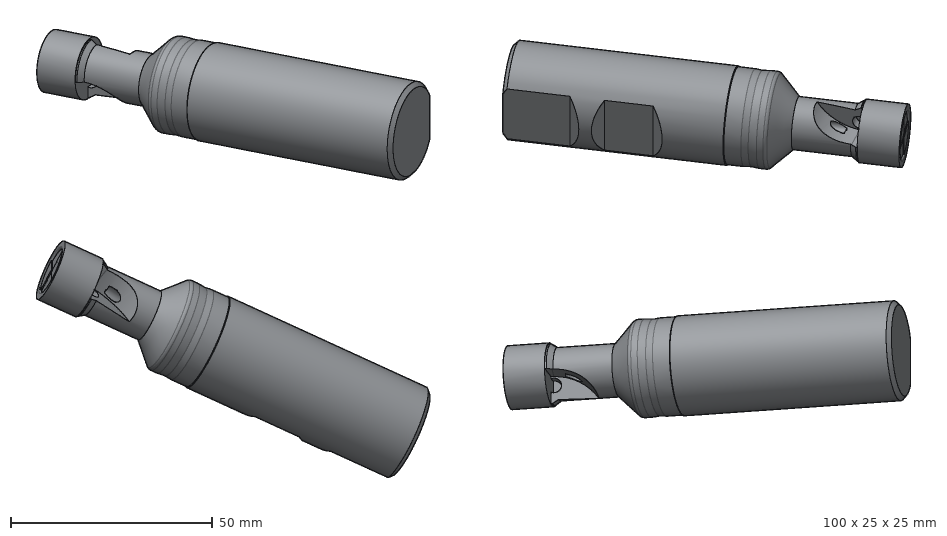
import cadquery as cq
import math

TOTAL_LENGTH = 100.0
HEAD_END = 10.6
COLLAR_END = 11.0
NECK_START = 12.5
CONE_START = 27.5
GROOVE_START = 35.3
GROOVE_MIDDLE = 37.4
GROOVE_END = 39.2
SHANK_START = 43.5

HEAD_RADIUS = 8.0
COLLAR_RADIUS = 7.7
NECK_RADIUS = 6.7
GUIDE_RADIUS = 12.3
SHANK_RADIUS = 12.5

CONE_ANGLE = 45
CONE_BLEND_RADIUS = 1.3
GROOVE_DEPTH = 0.2
SHANK_CHAMFER = 1.1

FLAT_HEIGHT = 9.7
FLAT_SLOPE_RUN = SHANK_RADIUS - FLAT_HEIGHT
FIRST_FLAT_START = 61.9
FIRST_FLAT_END = 74.2
SECOND_FLAT_START = 83.0

FLUTE_TILT = 8.5
FLUTE_FLOOR_HEIGHT = 0.7
FLUTE_FLOOR_RADIUS = 13.6
FLUTE_ARC_START = 11.3
FLUTE_WALL_Y = 0.6
FLUTE_REACH = 10.0

RELIEF_RADIUS = 1.9
RELIEF_DEPTH = 2.5
RELIEF_CENTRE_Z = 3.0

COOLANT_RADIUS = 1.4
COOLANT_ORIGIN_X = 26.0
COOLANT_TARGET = cq.Vector(17.2, 1.6, 1.5)
COOLANT_OVERRUN = 2.5

DISH_RADIUS = 6.4
DISH_DEPTH = 0.5
PAD_HEIGHT = 0.3
PAD_CORNER_Z = 0.5
PAD_STEP_Y = 2.8


def revolve_about_x(outline):
    """Turn a half outline drawn in the XY plane about the X axis."""
    return outline.close().revolve(360, (0, 0, 0), (1, 0, 0))


def repeat_half_turn(feature):
    """Join a feature to its copy turned half a turn about the X axis."""
    return feature.union(feature.rotate((0, 0, 0), (1, 0, 0), 180))


def make_body():
    """Collar, neck, 45 degree cone, guide band with its groove, and shank."""
    corner_x = CONE_START + GUIDE_RADIUS - NECK_RADIUS
    half_cone_angle = math.radians(CONE_ANGLE / 2)
    tangent_length = CONE_BLEND_RADIUS * math.tan(half_cone_angle)
    tangent_leg = tangent_length * math.sqrt(0.5)
    blend_start = (corner_x - tangent_leg, GUIDE_RADIUS - tangent_leg)
    blend_end = (corner_x + tangent_length, GUIDE_RADIUS)
    blend_middle = (
        blend_end[0] - CONE_BLEND_RADIUS * math.sin(half_cone_angle),
        GUIDE_RADIUS - CONE_BLEND_RADIUS * (1 - math.cos(half_cone_angle)),
    )
    shank_step = SHANK_RADIUS - GUIDE_RADIUS
    outline = (
        cq.Workplane("XY")
        .moveTo(HEAD_END, 0)
        .lineTo(HEAD_END, COLLAR_RADIUS)
        .lineTo(COLLAR_END, COLLAR_RADIUS)
        .lineTo(NECK_START, NECK_RADIUS)
        .lineTo(CONE_START, NECK_RADIUS)
        .lineTo(*blend_start)
        .threePointArc(blend_middle, blend_end)
        .lineTo(GROOVE_START, GUIDE_RADIUS)
        .lineTo(GROOVE_MIDDLE, GUIDE_RADIUS - GROOVE_DEPTH)
        .lineTo(GROOVE_END, GUIDE_RADIUS)
        .lineTo(SHANK_START, GUIDE_RADIUS)
        .lineTo(SHANK_START + shank_step, SHANK_RADIUS)
        .lineTo(TOTAL_LENGTH - SHANK_CHAMFER, SHANK_RADIUS)
        .lineTo(TOTAL_LENGTH, SHANK_RADIUS - SHANK_CHAMFER)
        .lineTo(TOTAL_LENGTH, 0)
    )
    return revolve_about_x(outline)


def make_clamping_flats():
    """Two flats with 45 degree run-outs; the second leaves through the shank end."""
    first = (
        cq.Workplane("XY")
        .moveTo(FIRST_FLAT_START - FLAT_SLOPE_RUN, SHANK_RADIUS)
        .lineTo(FIRST_FLAT_START, FLAT_HEIGHT)
        .lineTo(FIRST_FLAT_END, FLAT_HEIGHT)
        .lineTo(FIRST_FLAT_END + FLAT_SLOPE_RUN, SHANK_RADIUS)
        .close()
        .extrude(SHANK_RADIUS, both=True)
    )
    second = (
        cq.Workplane("XY")
        .moveTo(SECOND_FLAT_START - FLAT_SLOPE_RUN, SHANK_RADIUS)
        .lineTo(SECOND_FLAT_START, FLAT_HEIGHT)
        .lineTo(TOTAL_LENGTH, FLAT_HEIGHT)
        .lineTo(TOTAL_LENGTH, SHANK_RADIUS)
        .close()
        .extrude(SHANK_RADIUS, both=True)
    )
    return first.union(second)


def make_flute():
    """Flute with a flat wall, a floor that curves up to the neck, and a round relief."""
    wall_plane = cq.Plane(
        origin=(FLUTE_ARC_START, FLUTE_WALL_Y, 0), xDir=(1, 0, 0), normal=(0, -1, 0)
    ).rotated((0, -FLUTE_TILT, 0))
    arc_centre_z = FLUTE_FLOOR_HEIGHT + FLUTE_FLOOR_RADIUS
    floor_step = FLUTE_FLOOR_RADIUS * math.sqrt(0.5)
    sweep = (
        cq.Workplane(wall_plane)
        .moveTo(-FLUTE_REACH, FLUTE_FLOOR_HEIGHT)
        .lineTo(0, FLUTE_FLOOR_HEIGHT)
        .threePointArc((floor_step, arc_centre_z - floor_step), (FLUTE_FLOOR_RADIUS, arc_centre_z))
        .lineTo(-FLUTE_REACH, arc_centre_z)
        .close()
        .extrude(-FLUTE_REACH)
    )
    relief = (
        cq.Workplane(wall_plane)
        .center(0, RELIEF_CENTRE_Z)
        .circle(RELIEF_RADIUS)
        .extrude(RELIEF_DEPTH)
    )
    return sweep.union(relief)


def make_coolant_hole():
    """Straight hole from the axis, inclined towards the flute floor."""
    origin = cq.Vector(COOLANT_ORIGIN_X, 0, 0)
    direction = COOLANT_TARGET - origin
    length = direction.Length + COOLANT_OVERRUN
    return cq.Workplane(cq.Solid.makeCylinder(COOLANT_RADIUS, length, origin, direction))


def make_head():
    """Cutting head with a round-edged dish and two opposite pads on its floor."""
    floor_radius = DISH_RADIUS - DISH_DEPTH
    rim_offset = DISH_DEPTH * (1 - math.sqrt(0.5))
    rim_middle = (rim_offset, floor_radius + rim_offset)
    outline = (
        cq.Workplane("XY")
        .moveTo(DISH_DEPTH, 0)
        .lineTo(DISH_DEPTH, floor_radius)
        .threePointArc(rim_middle, (0, DISH_RADIUS))
        .lineTo(0, HEAD_RADIUS)
        .lineTo(HEAD_END, HEAD_RADIUS)
        .lineTo(HEAD_END, 0)
    )
    pad_outline = (
        cq.Workplane("YZ", origin=(DISH_DEPTH - PAD_HEIGHT, 0, 0))
        .moveTo(0, PAD_CORNER_Z)
        .lineTo(PAD_STEP_Y, PAD_CORNER_Z)
        .lineTo(PAD_STEP_Y, 0)
        .lineTo(HEAD_RADIUS, 0)
        .lineTo(HEAD_RADIUS, HEAD_RADIUS)
        .lineTo(0, HEAD_RADIUS)
        .close()
        .extrude(PAD_HEIGHT)
    )
    head_disc = cq.Workplane("YZ").circle(DISH_RADIUS).extrude(HEAD_END)
    pad = pad_outline.intersect(head_disc)
    return revolve_about_x(outline).union(repeat_half_turn(pad))


body = make_body().cut(make_clamping_flats())
body = body.cut(repeat_half_turn(make_flute()))
body = body.cut(repeat_half_turn(make_coolant_hole()))
result = body.union(make_head())